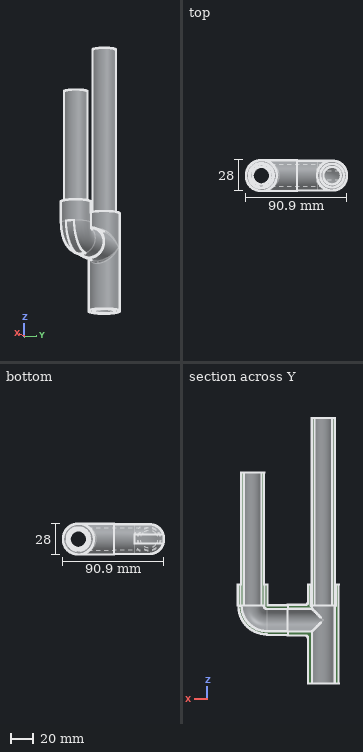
import cadquery as cq

tee_diameter = 28.0
tee_bore = 20.0
tee_socket_diameter = 22.5
tee_arm = 32.0
tail_length = 25.0
socket_depth = 19.0
crotch_radius = 2.0

pipe_diameter = 21.2
pipe_bore = 15.7
total_height = 238.5
short_pipe_drop = 49.0

elbow_diameter = 27.0
elbow_bore = 19.8
total_width = 90.9
bend_radius = 12.9

bottom_z = -(tee_arm + tail_length)
top_z = bottom_z + total_height
elbow_x = total_width - tee_diameter / 2 - elbow_diameter / 2
bend_start_x = elbow_x - bend_radius
elbow_top_z = tee_arm


def upright_cylinder(diameter, x, z_low, z_high):
    return cq.Workplane("XY", origin=(x, 0, z_low)).circle(diameter / 2).extrude(z_high - z_low)


def level_cylinder(diameter, x_low, x_high):
    return cq.Workplane("YZ", origin=(x_low, 0, 0)).circle(diameter / 2).extrude(x_high - x_low)


def make_tee():
    run = upright_cylinder(tee_diameter, 0, bottom_z + tail_length, tee_arm)
    branch = level_cylinder(tee_diameter, 0, tee_arm)
    junction = cq.selectors.BoxSelector(
        (-tee_diameter, -tee_diameter, -tee_arm / 2),
        (tee_arm / 2, tee_diameter, tee_arm / 2),
    )
    body = run.union(branch).edges(junction).fillet(crotch_radius)
    body = body.union(upright_cylinder(tee_diameter, 0, bottom_z, bottom_z + tail_length))
    body = body.cut(upright_cylinder(tee_bore, 0, bottom_z, tee_arm))
    body = body.cut(level_cylinder(tee_bore, 0, tee_arm))
    return body.cut(upright_cylinder(tee_socket_diameter, 0, tee_arm - socket_depth, tee_arm))


def quarter_bend(diameter):
    """Solid bend turning from +X to +Z about an axis along Y; its section stops at that axis."""
    section = cq.Workplane("YZ").circle(diameter / 2).extrude(2.5)
    below_axis = cq.Workplane("YZ").rect(diameter, 2 * bend_radius).extrude(2.5)
    clipped_section = section.intersect(below_axis).faces("<X").wires().val()
    bend = cq.Solid.revolve(
        clipped_section, [], 90, cq.Vector(0, 0, bend_radius), cq.Vector(0, -2.5, bend_radius)
    )
    return cq.Workplane(bend.translate(cq.Vector(bend_start_x, 0, 0)))


def make_elbow():
    body = level_cylinder(elbow_diameter, tee_arm, bend_start_x)
    body = body.union(quarter_bend(elbow_diameter))
    body = body.union(upright_cylinder(elbow_diameter, elbow_x, bend_radius, elbow_top_z))
    body = body.cut(level_cylinder(elbow_bore, tee_arm, bend_start_x))
    body = body.cut(quarter_bend(elbow_bore))
    return body.cut(upright_cylinder(pipe_diameter, elbow_x, bend_radius, elbow_top_z))


def make_pipe(x, z_low, z_high):
    return upright_cylinder(pipe_diameter, x, z_low, z_high).cut(
        upright_cylinder(pipe_bore, x, z_low, z_high)
    )


tee = make_tee()
elbow = make_elbow()

pipe_places = [
    (0, tee_arm - socket_depth, top_z),
    (elbow_x, bend_radius, top_z - short_pipe_drop),
]
pipes = [make_pipe(x, z_low, z_high) for x, z_low, z_high in pipe_places]

result = cq.Compound.makeCompound([tee.val(), elbow.val(), *[pipe.val() for pipe in pipes]])